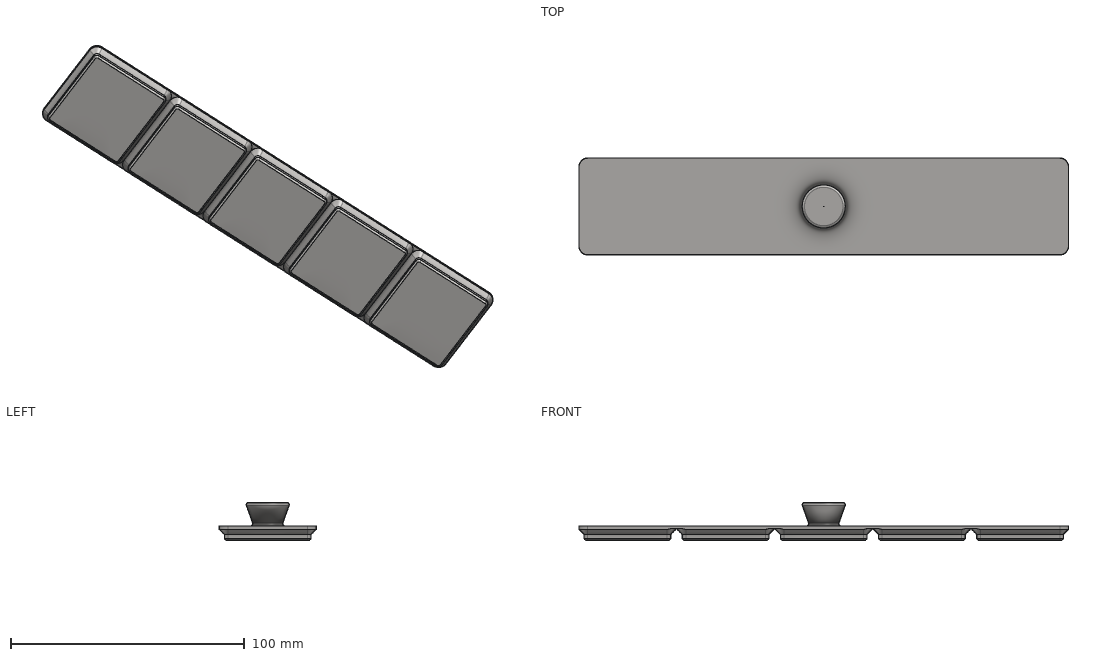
import cadquery as cq

cell_count = 5
cell_pitch = 42.0
cell_corner_radius = 4.0
clearance = 0.5
lid_length = cell_count * cell_pitch - clearance
lid_width = cell_pitch - clearance
lid_corner_radius = cell_corner_radius - clearance / 2

lower_chamfer = 0.8
foot_wall = 1.8
upper_chamfer = 2.4
foot_height = lower_chamfer + foot_wall + upper_chamfer

plate_thickness = 1.2
lid_height = foot_height + plate_thickness

knob_height = 10.0
cone_base_radius = 6.05
cone_top_radius = 9.65
knob_fillet = 1.0
pinhole_diameter = 0.02


def rounded_slab(length, width, radius, bottom, top):
    """Slab with rounded vertical corners, centred on the Z axis."""
    slab = cq.Workplane("XY", origin=(0, 0, bottom)).rect(length, width).extrude(top - bottom)
    return slab.edges("|Z").fillet(radius)


def make_cell():
    """One untrimmed cell: a narrow chamfered foot below a full-pitch block with a wide chamfer."""
    foot_width = cell_pitch - 2 * upper_chamfer
    foot_radius = cell_corner_radius - upper_chamfer
    foot = rounded_slab(foot_width, foot_width, foot_radius, 0, lid_height)
    foot = foot.faces("<Z").edges().chamfer(lower_chamfer)
    block_bottom = lower_chamfer + foot_wall
    block = rounded_slab(cell_pitch, cell_pitch, cell_corner_radius, block_bottom, lid_height)
    block = block.faces("<Z").edges().chamfer(upper_chamfer)
    return foot.union(block)


def make_lid():
    """Plate joined to a row of cells, all trimmed to the outline of the plate."""
    lid = rounded_slab(lid_length, lid_width, lid_corner_radius, foot_height, lid_height)
    outline = rounded_slab(lid_length, lid_width, lid_corner_radius, 0, lid_height)
    cell = make_cell()
    for index in range(cell_count):
        cell_x = (index - (cell_count - 1) / 2) * cell_pitch
        trimmed_cell = cell.translate((cell_x, 0, 0)).intersect(outline)
        lid = lid.union(trimmed_cell)
    return lid.clean()


def add_knob(lid):
    """Flared knob on the plate, filleted at its root and rim."""
    root_center = cq.Vector(0, 0, lid_height)
    cone = cq.Solid.makeCone(cone_base_radius, cone_top_radius, knob_height, root_center)
    knobbed_lid = lid.union(cq.Workplane(cone))
    return knobbed_lid.faces("%CONE").faces(">Z").edges("%CIRCLE").fillet(knob_fillet)


def cut_pinhole(lid):
    """Fine axial hole through the height of the knob."""
    pinhole = cq.Workplane("XY", origin=(0, 0, lid_height)).circle(pinhole_diameter / 2)
    return lid.cut(pinhole.extrude(knob_height))


result = cut_pinhole(add_knob(make_lid()))